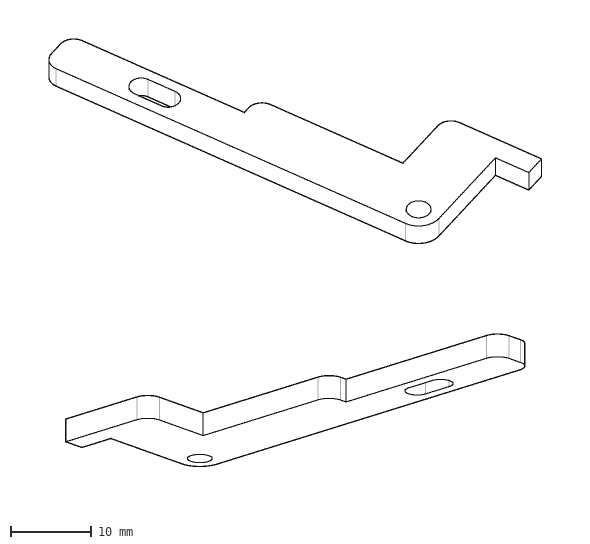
import cadquery as cq

length = 61.6
depth = 19.0
thickness = 3.0

arm_width = 6.05
step_x = 25.9
step_y = 9.0
upright_left = 47.5
upright_right = 56.65
tab_width = 2.95
corner_radius = 2.0
pivot_radius = arm_width / 2

opening_y = arm_width / 2
pivot_x = upright_right - pivot_radius
pivot_hole_diameter = 3.1
slot_start = 11.1
slot_end = 18.15
slot_width = 3.1


def make_plate():
    """Flat lever: arm, raised middle, upright and end tab."""
    outline = [
        (0, 0),
        (upright_right, 0),
        (upright_right, depth - tab_width),
        (length, depth - tab_width),
        (length, depth),
        (upright_left, depth),
        (upright_left, step_y),
        (step_x, step_y),
        (step_x, arm_width),
        (0, arm_width),
    ]
    return cq.Workplane("XY").polyline(outline).close().extrude(thickness)


def round_corner(body, x, y, radius):
    """Round the vertical edge that stands at (x, y)."""
    edge = cq.selectors.NearestToPointSelector((x, y, thickness / 2))
    return body.edges("|Z").edges(edge).fillet(radius)


def cut_openings(body):
    """Cut the round pivot hole and the rounded slot through the plate."""
    pivot_hole = (
        cq.Workplane("XY")
        .center(pivot_x, opening_y)
        .circle(pivot_hole_diameter / 2)
        .extrude(thickness)
    )
    slot = (
        cq.Workplane("XY")
        .center((slot_start + slot_end) / 2, opening_y)
        .slot2D(slot_end - slot_start, slot_width)
        .extrude(thickness)
    )
    return body.cut(pivot_hole).cut(slot)


small_corners = [
    (0, 0),
    (0, arm_width),
    (step_x, step_y),
    (upright_left, depth),
]

plate = make_plate()
for corner_x, corner_y in small_corners:
    plate = round_corner(plate, corner_x, corner_y, corner_radius)
plate = round_corner(plate, upright_right, 0, pivot_radius)

result = cut_openings(plate)